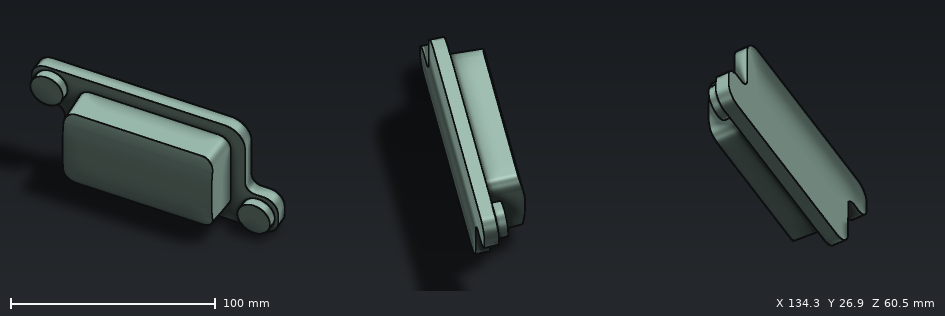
import cadquery as cq
import math

length = 134.3
height = 60.5
depth = 26.9

plate_thickness = 7.3
body_width = 98.3
tab_height = 21.9
body_corner_radius = 11.4
tab_corner_radius = 8.2
inner_corner_radius = 5.5

pad_radius = 8.9
pad_height = 5.2
pad_x = 56.4
pad_z = 19.6

block_width = 82.6
block_height = 45.7
block_corner_radius = 6.6
block_draft = 2.0
crown_flat = 6.8
crown_radius = 72.5

block_depth = depth - plate_thickness
half_length = length / 2
half_height = height / 2
half_body = body_width / 2
tab_edge = half_height - tab_height

front_plane = cq.Workplane("XZ", origin=(0, -plate_thickness, 0))


def edges_at(x, z):
    """Select the plate edges running along Y through (x, z) and its opposite point."""
    margin = 0.1
    first = cq.selectors.BoxSelector(
        (x - margin, -depth, z - margin), (x + margin, depth, z + margin))
    second = cq.selectors.BoxSelector(
        (-x - margin, -depth, -z - margin), (-x + margin, depth, -z + margin))
    return first + second


def make_plate():
    plate = (
        cq.Workplane("XZ")
        .moveTo(-half_length, half_height)
        .lineTo(half_body, half_height)
        .lineTo(half_body, -tab_edge)
        .lineTo(half_length, -tab_edge)
        .lineTo(half_length, -half_height)
        .lineTo(-half_body, -half_height)
        .lineTo(-half_body, tab_edge)
        .lineTo(-half_length, tab_edge)
        .close()
        .extrude(plate_thickness)
    )
    corners = [
        (half_body, half_height, body_corner_radius),
        (half_length, -half_height, tab_corner_radius),
        (half_length, -tab_edge, tab_corner_radius),
        (half_body, -tab_edge, inner_corner_radius),
    ]
    for x, z, radius in corners:
        plate = plate.edges("|Y").edges(edges_at(x, z)).fillet(radius)
    return plate


def make_pads():
    return (
        front_plane
        .pushPoints([(-pad_x, pad_z), (pad_x, -pad_z)])
        .circle(pad_radius)
        .extrude(pad_height)
    )


def make_crown_envelope():
    """Bar along X whose front is a flat strip with a tangent arc on each side."""
    flat_edge = crown_flat / 2
    side = block_height / 2
    arc_span = side - flat_edge

    def arc_y(distance):
        drop = crown_radius - math.sqrt(crown_radius**2 - distance**2)
        return drop - depth

    middle = flat_edge + arc_span / 2
    return (
        cq.Workplane("YZ", origin=(-block_width / 2, 0, 0))
        .moveTo(0, -side)
        .lineTo(arc_y(arc_span), -side)
        .threePointArc((arc_y(arc_span / 2), -middle), (-depth, -flat_edge))
        .lineTo(-depth, flat_edge)
        .threePointArc((arc_y(arc_span / 2), middle), (arc_y(arc_span), side))
        .lineTo(0, side)
        .close()
        .extrude(block_width)
    )


def make_block():
    drafted = front_plane.rect(block_width, block_height).extrude(block_depth, taper=block_draft)
    drafted = drafted.edges("not(#Y)").fillet(block_corner_radius)
    return drafted.intersect(make_crown_envelope())


result = make_plate().union(make_pads()).union(make_block())